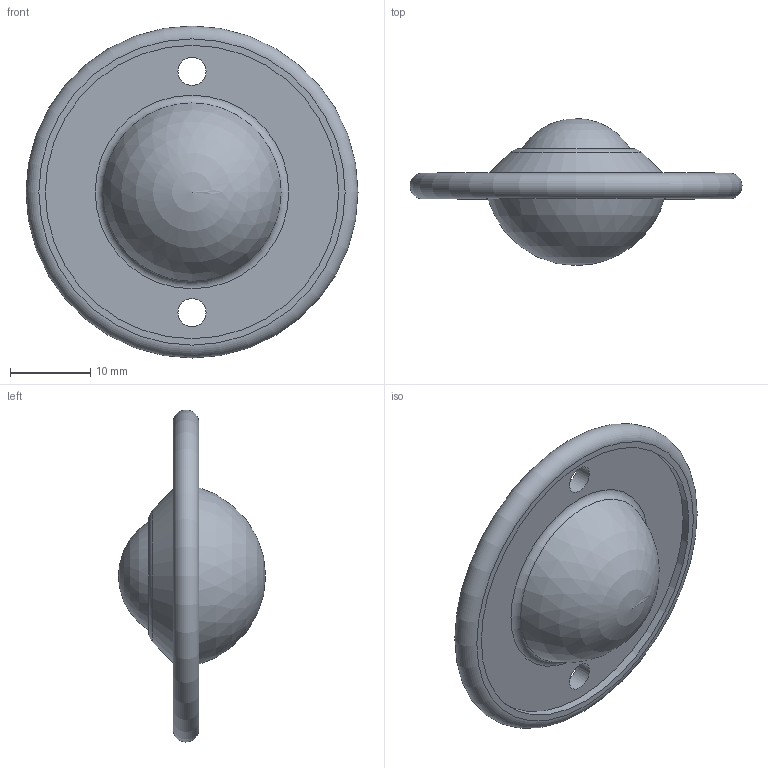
import cadquery as cq
import math


flange_diameter = 41.3
rim_thickness = 3.2
rim_inner_radius = 18.25
recess_depth = 1.0

mount_hole_diameter = 3.5
mount_hole_spacing = 30.0

cone_base_radius = 10.85
cone_end_radius = 8.2
shoulder_end_radius = 7.3
housing_end_y = 4.6
shoulder_height = 0.45

dome_radius = 11.45
dome_blend_radius = 1.0

back_cap_height = 3.8
back_cap_base_radius = 6.75

overall_depth = 18.3

flange_radius = flange_diameter / 2
rim_half = rim_thickness / 2
rim_center_radius = flange_radius - rim_half
recess_y = recess_depth - rim_half

back_y = housing_end_y + back_cap_height
front_y = back_y - overall_depth
dome_center_y = front_y + dome_radius
back_cap_radius = (back_cap_base_radius**2 + back_cap_height**2) / (2 * back_cap_height)
back_cap_center_y = back_y - back_cap_radius

blend_center_y = recess_y - dome_blend_radius
blend_center_radius = math.sqrt(
    (dome_radius + dome_blend_radius) ** 2 - (blend_center_y - dome_center_y) ** 2
)
dome_edge_angle = math.atan2(blend_center_radius, dome_center_y - blend_center_y)


def sphere_point(radius, center_y, angle):
    """Profile point on a sphere centred on the axis, at an angle from its front pole."""
    return (radius * math.sin(angle), center_y - radius * math.cos(angle))


def blend_point(angle):
    """Profile point on the dome blend; angle 0 is where it meets the recessed face."""
    return (
        blend_center_radius - dome_blend_radius * math.sin(angle),
        blend_center_y + dome_blend_radius * math.cos(angle),
    )


def make_turned_body():
    """Revolve the (radius, y) half profile, from the front pole to the back pole."""
    dome_middle = sphere_point(dome_radius, dome_center_y, dome_edge_angle / 2)
    dome_edge = sphere_point(dome_radius, dome_center_y, dome_edge_angle)
    cap_base_angle = math.atan2(back_cap_base_radius, back_cap_center_y - housing_end_y)
    cap_middle = sphere_point(back_cap_radius, back_cap_center_y, (cap_base_angle + math.pi) / 2)
    profile = (
        cq.Workplane("XY")
        .moveTo(0, front_y)
        .threePointArc(dome_middle, dome_edge)
        .threePointArc(blend_point(dome_edge_angle / 2), blend_point(0))
        .lineTo(rim_inner_radius, recess_y)
        .lineTo(rim_inner_radius, -rim_half)
        .lineTo(rim_center_radius, -rim_half)
        .threePointArc((flange_radius, 0), (rim_center_radius, rim_half))
        .lineTo(cone_base_radius, rim_half)
        .lineTo(cone_end_radius, housing_end_y - shoulder_height)
        .tangentArcPoint((shoulder_end_radius, housing_end_y), relative=False)
        .lineTo(back_cap_base_radius, housing_end_y)
        .threePointArc(cap_middle, (0, back_y))
        .close()
    )
    return profile.revolve(360, (0, 0, 0), (0, 1, 0))


def make_mount_holes():
    """Two cylinders along Y, one above and one below the dome."""
    hole_offset = mount_hole_spacing / 2
    return (
        cq.Workplane("XZ", origin=(0, rim_half, 0))
        .pushPoints([(0, hole_offset), (0, -hole_offset)])
        .circle(mount_hole_diameter / 2)
        .extrude(rim_thickness)
    )


result = make_turned_body().cut(make_mount_holes())